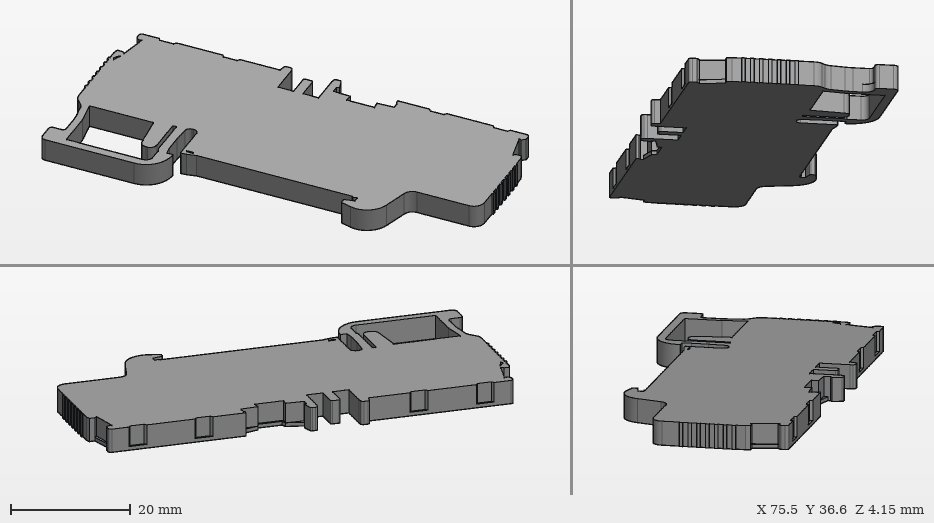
import cadquery as cq
import math


length = 75.5
height = 36.6
thickness = 4.15
skin = 0.7

rib_height = 0.2
right_x = length - rib_height
left_x = 0.45
mid_x = (left_x + right_x) / 2
top_y = 35.25
shoulder_y = 29.1
shoulder_chamfer_run = 0.2
shoulder_chamfer_drop = 0.8
rail_face_y = 6.4

rib_count = 7
rib_pitch = 1.5
rib_width = 0.6
rib_first_y = 17.3

nose_inset = 1.6
nose_low_y = 33.9
nose_low_radius = 0.2
nose_top_radius = 0.5
notch_top_y = 33.35
notch_top_inset = 2.3
notch_foot_inset = 1.2
notch_recess_depth = 0.45
notch_recess_head = 0.2
notch_recess_foot = 0.4

contact_offsets = (19.0, 30.7)
contact_width = 3.2
contact_floor_width = 2.5
contact_depth = 0.45

slot_floor_y = 30.5
slot_width = 2.9
tab_width = 1.7
tab_top_y = 34.6
tab_radius = 0.3
post_width = 1.65
post_radius = 0.45
post_lean = 0.15
post_shoulder = 0.1
post_taper_y = height - 0.9
post_left_x = 27.9
slot_left_x = post_left_x + post_width
tab_left_x = slot_left_x + slot_width
tab_right_x = tab_left_x + tab_width
slot_right_x = tab_right_x + slot_width
latch_tip_x = 38.95
latch_tip_y = 34.8
latch_radius = 0.3
latch_hook = 0.4

cradle_left_x = 38.5
cradle_right_x = 49.7
cradle_rim_y = 34.0
cradle_seat_y = 33.1
cradle_floor_y = 32.3
seat_rise = 0.15
cradle_lip = 0.2
lip_low_y = 34.5
lip_high_y = 34.7
trough_left_x = 41.75
trough_right_x = 46.6
trough_taper = 0.3
trough_undercut = 0.15
trough_recess_depth = 0.45

foot_top_y = 3.9
foot_floor_y = 1.6
foot_bend_radius = 4.8
foot_corner_radius = 0.9
foot_top_radius = 0.6
foot_tip_x = 22.1
arm_outer_x = 2.7
arm_inner_x = 4.1
arm_bend_y = 8.0
arm_bend_radius = 9.05
arm_root_x = 2.1
arm_root_y = 11.8
arm_root_radius = 2.05
body_corner_y = 13.5
arm_root_inner_x = 3.4
arm_fillet = 0.6
web_fillet = 1.7
web_height = 1.35
window_top_y = 12.2
window_right_x = 15.2
window_corner_radius = 1.2
spring_left_x = 19.2
spring_jog = 0.2
spring_jog_y = 5.65
spring_jog_length = 0.5
tongue_left_x = 15.9
tongue_right_x = 18.5
tongue_tip_y = 5.2
slit_top_y = 12.75
slit_top_radius = 0.15
gap_left_x = 21.0
gap_right_x = 23.0
gap_top_y = 13.2
gap_top_radius = 0.9
gap_waist = 0.2
waist_high_y = 9.5
waist_low_y = 6.6
lead_in_x = 25.8
lead_in_length = 1.65
lead_in_drop = 0.4
rail_corner_radius = 0.15
barb_y = 5.0

hook_root_x = 62.35
hook_root_radius = 1.8
hook_heel_x = 59.55
hook_heel_y = 2.4
hook_heel_radius = 4.3
hook_tip_x = 53.5
hook_tip_low_y = 4.0
hook_tip_high_y = 4.9
hook_tip_radius = 0.2
hook_throat_x = 55.4
hook_throat_y = 5.35
throat_top_y = 6.35
throat_bead_x = 54.65
throat_bead_y = 6.2
throat_bead_run = 0.2
step_y = 12.1
step_corner_radius = 2.0

slot_mark_depth = 0.75
line_mark_depth = 0.15
line_mark_width = 0.15
line_mark_left_x = 23.7
line_mark_right_x = 24.9
line_mark_y = rail_face_y + 0.45
slot_mark = [(1.05, 26.8), (1.3, 26.35), (1.5, 26.9), (1.9, 27.8), (1.65, 27.7)]


def rounded_wire(corners):
    """Closed outline through (x, y, radius) corners, each rounded by a tangent arc."""
    stretches = []
    for i, (x, y, radius) in enumerate(corners):
        corner = cq.Vector(x, y)
        before = cq.Vector(*corners[i - 1][:2]) - corner
        after = cq.Vector(*corners[(i + 1) % len(corners)][:2]) - corner
        if radius == 0:
            stretches.append((corner,))
            continue
        half_angle = before.getAngle(after) / 2
        setback = radius / math.tan(half_angle)
        bisector = (before.normalized() + after.normalized()).normalized()
        nearest = corner + bisector * (radius / math.sin(half_angle) - radius)
        arc_start = corner + before.normalized() * setback
        arc_end = corner + after.normalized() * setback
        stretches.append((arc_start, nearest, arc_end))

    path = cq.Workplane("XY").moveTo(stretches[-1][-1].x, stretches[-1][-1].y)
    for stretch in stretches:
        path = path.lineTo(stretch[0].x, stretch[0].y)
        if len(stretch) > 1:
            path = path.threePointArc(stretch[1].toTuple()[:2], stretch[2].toTuple()[:2])
    return path.close()


def mirrored(corners):
    """The same corners on the other side of the mirror line, in reverse order."""
    return [(2 * mid_x - x, *rest) for x, *rest in reversed(corners)]


def cutter(points, floor_z):
    """Prism over the points, from floor_z up through the top face."""
    return cq.Workplane("XY").workplane(offset=floor_z).polyline(points).close().extrude(thickness)


def upper_end():
    """Left shoulder, inclined notch and nose, from the bottom up."""
    return [
        (left_x, shoulder_y - shoulder_chamfer_drop, 0),
        (left_x + shoulder_chamfer_run, shoulder_y, 0),
        (left_x + notch_foot_inset, shoulder_y, 0),
        (left_x + notch_top_inset, notch_top_y, 0),
        (left_x + nose_inset, nose_low_y, nose_low_radius),
        (left_x + nose_inset, top_y, nose_top_radius),
    ]


def posts():
    """Two posts, the tab between them and the latch on the right post."""
    return [
        (post_left_x - post_lean, top_y, 0),
        (post_left_x + post_shoulder, height, post_radius),
        (slot_left_x - post_lean, height, post_radius),
        (slot_left_x, post_taper_y, 0),
        (slot_left_x, slot_floor_y, 0),
        (tab_left_x, slot_floor_y, 0),
        (tab_left_x, tab_top_y, tab_radius),
        (tab_right_x, tab_top_y, tab_radius),
        (tab_right_x, slot_floor_y, 0),
        (slot_right_x, slot_floor_y, 0),
        (slot_right_x, post_taper_y, 0),
        (slot_right_x + post_lean, height, post_radius),
        (cradle_left_x - post_shoulder, height, latch_radius),
        (latch_tip_x, latch_tip_y, 0),
        (cradle_left_x, latch_tip_y - latch_hook, 0),
    ]


def cradle():
    """Sloping seats and central trough of the label cradle."""
    return [
        (cradle_left_x, cradle_rim_y, 0),
        (trough_left_x, cradle_seat_y, 0),
        (trough_left_x + trough_taper, cradle_floor_y, 0),
        (trough_right_x - trough_taper, cradle_floor_y, 0),
        (trough_right_x, cradle_seat_y, 0),
        (cradle_right_x, cradle_rim_y, 0),
        (cradle_right_x, lip_low_y, 0),
        (cradle_right_x - cradle_lip, lip_high_y, 0),
        (cradle_right_x - cradle_lip, top_y, 0),
    ]


def hook():
    """Stepped underside of the right end and the hook that grips the rail."""
    return [
        (right_x, step_y, step_corner_radius),
        (hook_root_x, step_y, hook_root_radius),
        (hook_heel_x, hook_heel_y, hook_heel_radius),
        (hook_tip_x, hook_tip_low_y, hook_tip_radius),
        (hook_tip_x, hook_tip_high_y, hook_tip_radius),
        (hook_throat_x, hook_throat_y, 0),
        (hook_throat_x, throat_top_y, 0),
        (throat_bead_x, throat_bead_y, 0),
        (throat_bead_x - throat_bead_run, rail_face_y, 0),
    ]


def spring_foot():
    """Rail seat, gap, barbed spring and foot, ending on the left arm."""
    return [
        (lead_in_x, rail_face_y, 0),
        (lead_in_x - lead_in_length, rail_face_y - lead_in_drop, 0),
        (gap_right_x, rail_face_y - lead_in_drop - 0.1, rail_corner_radius),
        (gap_right_x, gap_top_y, gap_top_radius),
        (gap_left_x, gap_top_y, gap_top_radius),
        (gap_left_x - gap_waist, waist_high_y, 0),
        (gap_left_x - gap_waist, waist_low_y, 0),
        (gap_left_x, barb_y, 0),
        (foot_tip_x, barb_y, 0),
        (foot_tip_x, 0, foot_bend_radius),
        (0, 0, foot_corner_radius),
        (0, foot_top_y, foot_top_radius),
        (arm_outer_x, foot_top_y, arm_fillet),
        (arm_outer_x, arm_bend_y, arm_bend_radius),
        (arm_root_x, arm_root_y, arm_root_radius),
        (left_x, body_corner_y, arm_root_radius),
    ]


def window():
    """Opening of the spring foot with its tongue and slit."""
    tongue_radius = (tongue_right_x - tongue_left_x) / 2 - 0.1
    return [
        (arm_root_inner_x, window_top_y, 0),
        (window_right_x, window_top_y, 0),
        (tongue_left_x, tongue_tip_y, tongue_radius),
        (tongue_right_x, tongue_tip_y, tongue_radius),
        (tongue_right_x, slit_top_y, slit_top_radius),
        (spring_left_x, slit_top_y, slit_top_radius),
        (spring_left_x, spring_jog_y, 0),
        (spring_left_x + spring_jog, spring_jog_y - spring_jog_length, 0),
        (spring_left_x + spring_jog, foot_floor_y, window_corner_radius),
        (arm_inner_x, foot_floor_y, 0),
        (arm_inner_x, arm_bend_y, 0),
    ]


def ribs():
    """Bars across the body whose ends stand proud of both end faces as grip ribs."""
    centers = [(mid_x, rib_first_y + i * rib_pitch) for i in range(rib_count)]
    bar_length = right_x - left_x + 2 * rib_height
    return cq.Workplane("XY").pushPoints(centers).rect(bar_length, rib_width).extrude(thickness)


def arm_web():
    """Low web filling the corner between foot and arm with a larger fillet."""
    away = web_fillet * (1 - math.sqrt(0.5))
    overlap = 0.15
    return (
        cq.Workplane("XY")
        .moveTo(arm_outer_x, foot_top_y + web_fillet)
        .threePointArc((arm_outer_x - away, foot_top_y + away), (arm_outer_x - web_fillet, foot_top_y))
        .lineTo(arm_outer_x - web_fillet, foot_top_y - overlap)
        .lineTo(arm_outer_x + overlap, foot_top_y - overlap)
        .lineTo(arm_outer_x + overlap, foot_top_y + web_fillet)
        .close()
        .extrude(web_height)
    )


def notch_recess():
    """Recess into the inclined notch face of the left end."""
    foot_x = left_x + notch_foot_inset
    head_x = left_x + notch_top_inset
    return [
        (foot_x, shoulder_y),
        (head_x, notch_top_y),
        (head_x + notch_recess_depth, notch_top_y + notch_recess_head),
        (foot_x + notch_recess_depth, shoulder_y - notch_recess_foot),
    ]


def contact_recess(center_x):
    """Shallow tapered recess in the top edge."""
    half_top = contact_width / 2
    half_floor = contact_floor_width / 2
    return [
        (center_x - half_top, top_y),
        (center_x - half_floor, top_y - contact_depth),
        (center_x + half_floor, top_y - contact_depth),
        (center_x + half_top, top_y),
    ]


def cradle_recess():
    """Recess that levels the cradle seats and deepens its trough."""
    trough_floor_y = cradle_floor_y - trough_recess_depth
    return [
        (cradle_left_x, cradle_rim_y),
        (cradle_left_x, cradle_seat_y + seat_rise),
        (trough_left_x, cradle_seat_y),
        (trough_left_x - trough_undercut, trough_floor_y),
        (trough_right_x + trough_undercut, trough_floor_y),
        (trough_right_x, cradle_seat_y),
        (cradle_right_x, cradle_seat_y + seat_rise),
        (cradle_right_x, cradle_rim_y),
    ]


outline = upper_end() + posts() + cradle() + mirrored(upper_end()) + hook() + spring_foot()
result = rounded_wire(outline).extrude(thickness)
result = result.cut(rounded_wire(window()).extrude(thickness))
result = result.union(ribs()).union(arm_web())

recesses = [notch_recess(), mirrored(notch_recess()), cradle_recess()]
for offset in contact_offsets:
    recesses.append(contact_recess(mid_x - offset))
    recesses.append(contact_recess(mid_x + offset))
for recess in recesses:
    result = result.cut(cutter(recess, skin))

result = result.cut(cutter(slot_mark, thickness - slot_mark_depth))
line_mark = [
    (line_mark_left_x, line_mark_y),
    (line_mark_right_x, line_mark_y),
    (line_mark_right_x, line_mark_y + line_mark_width),
    (line_mark_left_x, line_mark_y + line_mark_width),
]
result = result.cut(cutter(line_mark, thickness - line_mark_depth))